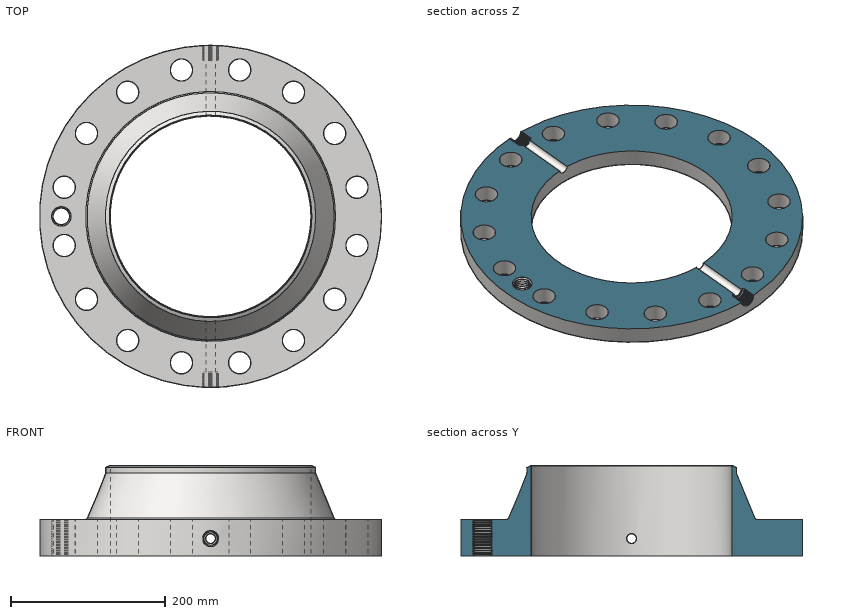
import cadquery as cq
import math


flange_diameter = 444.5
flange_thickness = 47.5
flange_radius = flange_diameter / 2

total_height = 117.5
bore_radius = 130.2
collar_radius = 136.5
collar_length = 10.0
collar_bevel_width = 5.0
collar_bevel_height = 2.2
hub_base_radius = 160.5
hub_foot_width = 2.0
hub_foot_height = 2.0

bolt_count = 16
bolt_hole_diameter = 28.5
bolt_circle_radius = 194.0

jack_major_diameter = 25.5
jack_minor_diameter = 21.5
jack_pitch = 3.15

tap_height = 22.5
tap_hole_diameter = 12.5
tap_major_diameter = 21.0
tap_minor_diameter = 17.5
tap_pitch = 1.82
tap_thread_depth = 20.0


def flange_body():
    """Ring of revolution: disc, flared hub foot, cone, collar and weld bevel."""
    collar_base = total_height - collar_length
    return (
        cq.Workplane("XZ")
        .moveTo(bore_radius, 0)
        .lineTo(flange_radius, 0)
        .lineTo(flange_radius, flange_thickness)
        .lineTo(hub_base_radius + hub_foot_width, flange_thickness)
        .lineTo(hub_base_radius, flange_thickness + hub_foot_height)
        .lineTo(collar_radius, collar_base)
        .lineTo(collar_radius, total_height - collar_bevel_height)
        .lineTo(collar_radius - collar_bevel_width, total_height)
        .lineTo(bore_radius, total_height)
        .close()
        .revolve(360, (0, 0, 0), (0, 1, 0))
    )


def thread_cutter(major_diameter, minor_diameter, pitch, depth):
    """Cutter along +Z from the origin, with the thread as equal V-shaped ring grooves."""
    groove_count = math.floor(depth / pitch)
    minor_radius = minor_diameter / 2
    major_radius = major_diameter / 2
    profile = cq.Workplane("XZ").moveTo(0, 0).lineTo(major_radius, 0)
    for groove in range(groove_count):
        crest = (groove + 0.5) * pitch
        root = (groove + 1) * pitch
        profile = profile.lineTo(minor_radius, crest).lineTo(major_radius, root)
    profile = profile.lineTo(minor_radius, depth).lineTo(0, depth).close()
    return profile.revolve(360, (0, 0, 0), (0, 1, 0))


def bolt_holes():
    """Through holes with the bolt circle straddling the X and Y axes."""
    half_step = 180 / bolt_count
    return (
        cq.Workplane("XY")
        .polarArray(bolt_circle_radius, half_step, 360, bolt_count)
        .circle(bolt_hole_diameter / 2)
        .extrude(flange_thickness)
    )


def jack_screw_hole():
    """Threaded through hole on the -X side, centred on the bolt circle."""
    cutter = thread_cutter(jack_major_diameter, jack_minor_diameter, jack_pitch, flange_thickness)
    return cutter.rotate((0, 0, 0), (1, 0, 0), 180).translate((-bolt_circle_radius, 0, flange_thickness))


def pressure_tap():
    """Radial tap entering from the rim on the -Y side."""
    thread = thread_cutter(tap_major_diameter, tap_minor_diameter, tap_pitch, tap_thread_depth)
    hole = cq.Workplane("XY").circle(tap_hole_diameter / 2).extrude(flange_radius)
    return thread.union(hole).rotate((0, 0, 0), (1, 0, 0), -90).translate((0, -flange_radius, tap_height))


result = flange_body().cut(bolt_holes()).cut(jack_screw_hole())
for tap_angle in (0, 180):
    result = result.cut(pressure_tap().rotate((0, 0, 0), (0, 0, 1), tap_angle))